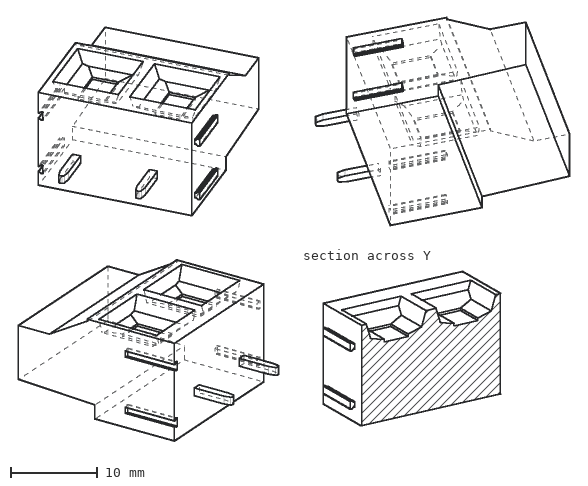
import cadquery as cq
import math


POLES = 2
PITCH = 9.52
WIDTH = POLES * PITCH
DEPTH = 21.5
HEIGHT = 12.5
TOP_DEPTH = 12.0
STEP_HEIGHT = 0.25
SLOPE_DEPTH = 5.2
SLOPE_ANGLE = 30.0
BASE_DEPTH = 11.0
UNDERCUT_FRONT_Z = 1.8
UNDERCUT_REAR_Z = 2.35

POCKET_WIDTH = 8.1
POCKET_FRONT_Y = 2.9
POCKET_REAR_Y = 10.85
WALL_DRAFT = 0.6
DRAFT_BOTTOM_Z = 10.6
FUNNEL_FRONT_Z = 11.4
FUNNEL_REAR_Z = 10.4
WINDOW_WIDTH = 3.2
WINDOW_FRONT_Y = 4.55
WINDOW_REAR_Y = 9.2
WINDOW_RIM_Z = 10.1
WINDOW_FLOOR_Z = 9.8

PIN_SIZE = 1.0
PIN_LENGTH = 5.0
PIN_Z = 4.6
PIN_TAPER_START = 4.0
PIN_TIP_HALF_WIDTH = 0.29
PIN_TIP_RADIUS = 0.21

DOVETAIL_LEVELS = (2.2, 9.4)
RIB_HEIGHT = 0.6
RIB_FRONT_Y = 1.0
DOVETAIL_REAR_Y = 6.8
ROOT_HALF_WIDTH = 0.34
THROAT_DEPTH = 0.08
THROAT_HALF_WIDTH = 0.27
CREST_DEPTH = 0.41
CREST_HALF_WIDTH = 0.52
TIP_HALF_WIDTH = 0.48
GROOVE_CLEARANCE = 0.05


def make_housing():
    slope_end_y = TOP_DEPTH + SLOPE_DEPTH
    slope_top_z = HEIGHT - STEP_HEIGHT
    shelf_z = slope_top_z - SLOPE_DEPTH * math.tan(math.radians(SLOPE_ANGLE))
    side_outline = [
        (0, 0),
        (BASE_DEPTH, 0),
        (BASE_DEPTH, UNDERCUT_FRONT_Z),
        (DEPTH, UNDERCUT_REAR_Z),
        (DEPTH, shelf_z),
        (slope_end_y, shelf_z),
        (TOP_DEPTH, slope_top_z),
        (TOP_DEPTH, HEIGHT),
        (0, HEIGHT),
    ]
    return cq.Workplane("YZ").polyline(side_outline).close().extrude(WIDTH)


def make_pocket(center_x):
    """Drafted pocket with a funnel bottom: the overlap of its two cross-sections, plus the window."""
    top = POCKET_WIDTH / 2
    bottom = top - WALL_DRAFT
    window = WINDOW_WIDTH / 2
    width_outline = [
        (center_x - top, HEIGHT),
        (center_x - bottom, DRAFT_BOTTOM_Z),
        (center_x - window, WINDOW_RIM_Z),
        (center_x + window, WINDOW_RIM_Z),
        (center_x + bottom, DRAFT_BOTTOM_Z),
        (center_x + top, HEIGHT),
    ]
    depth_outline = [
        (POCKET_FRONT_Y, HEIGHT),
        (POCKET_FRONT_Y, FUNNEL_FRONT_Z),
        (WINDOW_FRONT_Y, WINDOW_RIM_Z),
        (WINDOW_REAR_Y, WINDOW_RIM_Z),
        (POCKET_REAR_Y, FUNNEL_REAR_Z),
        (POCKET_REAR_Y, HEIGHT),
    ]
    across = cq.Workplane("XZ").polyline(width_outline).close().extrude(-DEPTH)
    along = cq.Workplane("YZ").polyline(depth_outline).close().extrude(WIDTH)
    window_cut = cq.Workplane("XY").box(
        WINDOW_WIDTH,
        WINDOW_REAR_Y - WINDOW_FRONT_Y,
        WINDOW_RIM_Z - WINDOW_FLOOR_Z,
        centered=(True, False, False),
    ).translate((center_x, WINDOW_FRONT_Y, WINDOW_FLOOR_Z))
    return across.intersect(along).union(window_cut)


def make_pin(center_x):
    half = PIN_SIZE / 2
    outline = [
        (center_x - half, 0),
        (center_x - half, -PIN_TAPER_START),
        (center_x - PIN_TIP_HALF_WIDTH, -PIN_LENGTH),
        (center_x + PIN_TIP_HALF_WIDTH, -PIN_LENGTH),
        (center_x + half, -PIN_TAPER_START),
        (center_x + half, 0),
    ]
    pin = cq.Workplane("XY").polyline(outline).close().extrude(PIN_SIZE)
    pin = pin.faces("<Y").edges("|Z").fillet(PIN_TIP_RADIUS)
    return pin.translate((0, 0, PIN_Z - half))


def make_dovetail(root_x, center_z, front_y, clearance):
    """Dovetail bar rising in +X from root_x, running along Y to the common rear end."""
    upper_half = [
        (0, ROOT_HALF_WIDTH),
        (THROAT_DEPTH, THROAT_HALF_WIDTH),
        (CREST_DEPTH, CREST_HALF_WIDTH),
        (RIB_HEIGHT, TIP_HALF_WIDTH),
    ]
    upper = [(root_x + x, center_z + half + clearance) for x, half in upper_half]
    lower = [(root_x + x, center_z - half - clearance) for x, half in reversed(upper_half)]
    bar = cq.Workplane("XZ").polyline(upper + lower).close().extrude(front_y - DOVETAIL_REAR_Y)
    return bar.translate((0, front_y, 0))


result = make_housing()

for pole in range(POLES):
    pole_x = (pole + 0.5) * PITCH
    result = result.cut(make_pocket(pole_x)).union(make_pin(pole_x))

for level in DOVETAIL_LEVELS:
    result = result.cut(make_dovetail(0, level, 0, GROOVE_CLEARANCE))
    result = result.union(make_dovetail(WIDTH, level, RIB_FRONT_Y, 0))